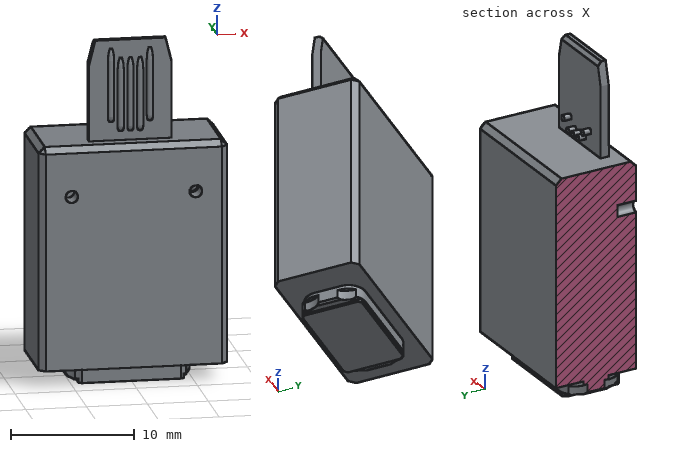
import cadquery as cq

overall_height = 28.5

housing_width = 15.5
housing_depth = 7.5
housing_height = 18.7
housing_chamfer = 0.5

socket_diameter = 1.0
socket_spacing = 10.2
socket_drop = 4.15
socket_depth = 1.7
lamp_radius = 0.43

board_width = 6.78
board_top_width = 5.79
board_height = 8.4
board_thickness = 0.77
board_taper_height = 2.0
board_bevel = 0.35
board_front_y = -2.17
board_top_z = housing_height + board_height

pin_radius = 0.25
pin_pitch = 0.8
pin_count = 5
pin_neck_radius = 0.242
pin_neck_length = 0.17
pin_nose_bulge_radius = 0.205
pin_nose_radius = 0.09
pin_nose_length = 0.83
pin_straight_length = 4.7
pin_bend_radius = 0.28
pin_tail_length = 0.65
outer_pin_drop = 0.7
inner_pin_drop = 1.5

shell_width = 10.2
shell_depth = 5.3
shell_height = 1.23
shell_corner_radius = 1.5
shell_edge_chamfer = 0.17

scoop_start_y = 0.83
scoop_deepest_y = 2.28
scoop_depth = 0.5
scoop_drop = 0.35

core_width = 8.65
core_front_y = -2.7
core_back_y = 2.56
core_chamfer = 0.25
core_height = overall_height - board_height - housing_height


def make_housing():
    block = cq.Workplane("XY").box(
        housing_width, housing_depth, housing_height, centered=(True, True, False)
    )
    block = block.edges("|Z or >Z").chamfer(housing_chamfer)
    sockets = (
        cq.Workplane("XZ", origin=(0, -housing_depth / 2, housing_height - socket_drop))
        .rarray(socket_spacing, 0.28, 2, 1)
        .circle(socket_diameter / 2)
        .extrude(-socket_depth)
    )
    lamp = cq.Workplane("XY").sphere(lamp_radius)
    lamp_y = -housing_depth / 2 + socket_depth
    lamp = lamp.translate((socket_spacing / 2, lamp_y, housing_height - socket_drop))
    return block.cut(sockets).union(lamp)


def make_board():
    taper_z = board_top_z - board_taper_height
    outline = [
        (-board_width / 2, housing_height),
        (board_width / 2, housing_height),
        (board_width / 2, taper_z),
        (board_top_width / 2, board_top_z),
        (-board_top_width / 2, board_top_z),
        (-board_width / 2, taper_z),
    ]
    board = cq.Workplane("XZ", origin=(0, board_front_y, 0)).polyline(outline).close()
    board = board.extrude(-board_thickness)
    return board.faces(">Z").edges(">Y").chamfer(board_bevel)


def make_pin(x, tip_drop):
    """Bullet-nosed round pin whose lower end turns back through the board."""
    neck_z = pin_straight_length + pin_neck_length
    tip_z = neck_z + pin_nose_length
    bend_z = board_top_z - tip_drop - tip_z
    origin = (x, board_front_y, bend_z)
    nose_middle = (pin_nose_bulge_radius, neck_z + pin_nose_length / 2)
    shank = (
        cq.Workplane("XZ", origin=origin)
        .lineTo(pin_radius, 0)
        .lineTo(pin_radius, pin_straight_length)
        .lineTo(pin_neck_radius, neck_z)
        .threePointArc(nose_middle, (pin_nose_radius, tip_z))
        .lineTo(0, tip_z)
        .close()
        .revolve(360, (0, 0), (0, 1))
    )
    bend = (
        cq.Workplane("XY", origin=origin)
        .circle(pin_radius)
        .revolve(90, (-0.28, pin_bend_radius), (0.28, pin_bend_radius))
    )
    tail = (
        cq.Workplane("XZ", origin=(x, board_front_y + pin_bend_radius, bend_z - pin_bend_radius))
        .circle(pin_radius)
        .extrude(-(board_thickness - pin_bend_radius + pin_tail_length))
    )
    return shank.union(bend).union(tail)


def make_shell():
    shell = (
        cq.Workplane("XY")
        .rect(shell_width, shell_depth)
        .extrude(-shell_height)
        .edges("|Z")
        .fillet(shell_corner_radius)
        .faces("<Z")
        .edges()
        .chamfer(shell_edge_chamfer)
    )
    half_chord = scoop_deepest_y - scoop_start_y
    scoop_radius = (half_chord**2 + scoop_depth**2) / (2 * scoop_depth)
    scoop_x = shell_width / 2 - scoop_depth + scoop_radius
    scoops = (
        cq.Workplane("XY", origin=(0, 0, -scoop_drop))
        .rect(2 * scoop_x, 2 * scoop_deepest_y, forConstruction=True)
        .vertices()
        .circle(scoop_radius)
        .extrude(-shell_height)
    )
    return shell.cut(scoops)


def make_core():
    core_depth = core_back_y - core_front_y
    core = cq.Workplane("XY", origin=(0, (core_front_y + core_back_y) / 2, 0))
    return core.rect(core_width, core_depth).extrude(-core_height).edges("|Z").chamfer(core_chamfer)


result = make_housing().union(make_board()).union(make_shell()).union(make_core())
for index in range(pin_count):
    is_outer = index in (0, pin_count - 1)
    tip_drop = outer_pin_drop if is_outer else inner_pin_drop
    result = result.union(make_pin((index - (pin_count - 1) / 2) * pin_pitch, tip_drop))